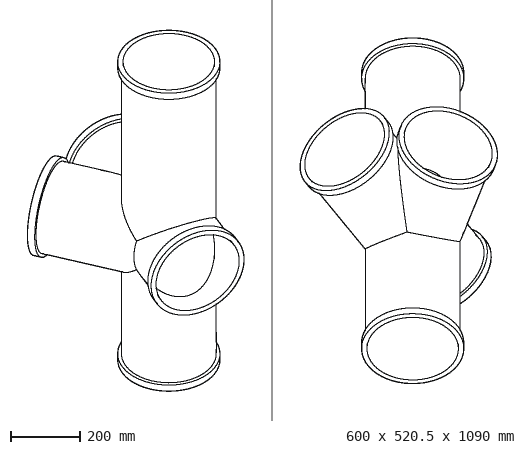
import cadquery as cq

pipe_diameter = 274.0
bore_diameter = 264.0
flange_diameter = 295.0
flange_thickness = 23.0

total_height = 1090.0
top_length = 630.0
bottom_length = total_height - top_length
total_width = 600.0
left_length = 400.0
right_length = total_width - left_length
branch_length = 380.0

arms = [
    (cq.Vector(0, 0, 1), top_length),
    (cq.Vector(0, 0, -1), bottom_length),
    (cq.Vector(-1, 0, 0), left_length),
    (cq.Vector(1, 0, 0), right_length),
    (cq.Vector(-1, -1, 0).normalized(), branch_length),
]

junction = cq.Vector(0, 0, 0)


def cylinder(diameter, length, start, direction):
    return cq.Workplane(cq.Solid.makeCylinder(diameter / 2, length, start, direction))


def flanged_arm(direction, length):
    """Solid pipe from the junction, with a flange ring at its open end."""
    pipe = cylinder(pipe_diameter, length, junction, direction)
    flange_start = direction * (length - flange_thickness)
    return pipe.union(cylinder(flange_diameter, flange_thickness, flange_start, direction))


result = flanged_arm(*arms[0])
for direction, length in arms[1:]:
    result = result.union(flanged_arm(direction, length))
for direction, length in arms:
    result = result.cut(cylinder(bore_diameter, length, junction, direction))